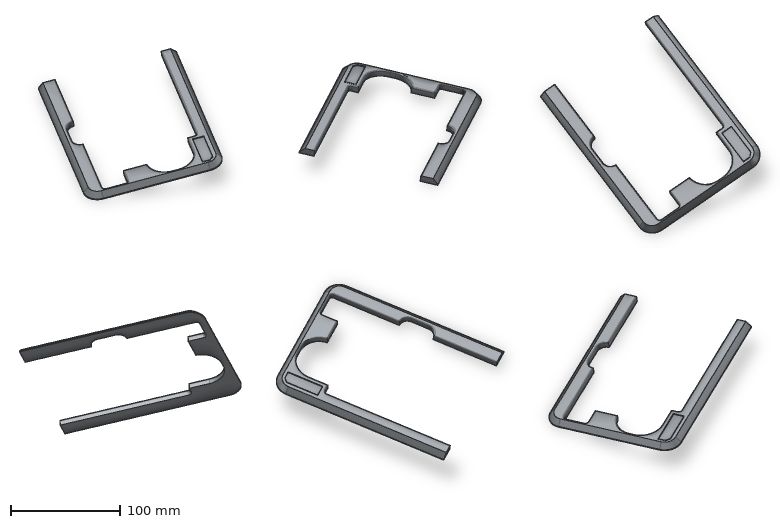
import cadquery as cq

TILT_ANGLE = 7.0
LENGTH = 174.73
WIDTH = 132.14
THICKNESS = 6.0
CORNER_RADIUS = 15.0
OUTER_CHAMFER = 5.0
WINDOW_EDGE_RADIUS = 1.0
INNER_CORNER_RADIUS = 3.0

LOWER_ARM_WIDTH = 16.8
UPPER_ARM_WIDTH = 14.0
END_BAR_WIDTH = 6.9
WINDOW_END_X = LENGTH - END_BAR_WIDTH
WINDOW_BOTTOM_Y = LOWER_ARM_WIDTH
WINDOW_TOP_Y = WIDTH - UPPER_ARM_WIDTH

PAD_LEFT_X = 128.0
PAD_BOTTOM_Y = 108.8

BAY_RADIUS = 20.0
BAY_FLAT = 5.0
BAY_BOTTOM_Y = PAD_BOTTOM_Y - 2 * BAY_RADIUS - BAY_FLAT

TAB_LEFT_X = 149.5
TAB_BOTTOM_Y = 41.4

NOTCH_CENTER_X = 81.2
NOTCH_WIDTH = 34.3
NOTCH_BOTTOM_Y = 8.3
NOTCH_RADIUS = LOWER_ARM_WIDTH - NOTCH_BOTTOM_Y

RECESS_LEFT_X = 131.9
RECESS_RIGHT_X = 166.8
RECESS_BOTTOM_Y = 112.6
RECESS_TOP_Y = 123.3
RECESS_CORNER_CUT = 3.6
RECESS_DEPTH = 1.0


def box(x_min, x_max, y_min, y_max):
    """Block through the full plate thickness."""
    return cq.Workplane("XY").box(x_max - x_min, y_max - y_min, THICKNESS, centered=False).translate(
        (x_min, y_min, 0)
    )


def make_plate():
    """Full plate with rounded +X corners and a broad chamfer on its three outer sides."""
    plate = box(0, LENGTH, 0, WIDTH).edges("|Z and >X").fillet(CORNER_RADIUS)
    return plate.faces(">Z").edges("not <X").chamfer(OUTER_CHAMFER)


def make_bay():
    """Bay cutter, square on its open -X side and rounded towards +X."""
    bay = box(PAD_LEFT_X, WINDOW_END_X, BAY_BOTTOM_Y, PAD_BOTTOM_Y)
    return bay.edges("|Z and >X").fillet(BAY_RADIUS)


def make_notch():
    """Finger notch cutter with rounded bottom corners."""
    half_width = NOTCH_WIDTH / 2
    notch = box(NOTCH_CENTER_X - half_width, NOTCH_CENTER_X + half_width, NOTCH_BOTTOM_Y, WINDOW_TOP_Y)
    return notch.edges("|Z and <Y").fillet(NOTCH_RADIUS)


def make_window():
    """Cutter for the whole opening between the arms."""
    main = box(0, PAD_LEFT_X, WINDOW_BOTTOM_Y, WINDOW_TOP_Y)
    main = main.edges("|Z and >X and >Y").fillet(INNER_CORNER_RADIUS)
    beside_tab = box(0, TAB_LEFT_X, WINDOW_BOTTOM_Y, BAY_BOTTOM_Y + BAY_RADIUS)
    below_tab = box(0, WINDOW_END_X, WINDOW_BOTTOM_Y, TAB_BOTTOM_Y)
    below_tab = below_tab.edges("|Z and >X").fillet(INNER_CORNER_RADIUS)
    return main.union(beside_tab).union(below_tab).union(make_bay()).union(make_notch()).clean()


def make_opened_slab():
    """Square slab with the window cut through it and its top edge rounded."""
    slab = box(0, LENGTH, 0, WIDTH).cut(make_window())
    window_edges = cq.selectors.BoxSelector(
        (WINDOW_EDGE_RADIUS, WINDOW_EDGE_RADIUS, 0),
        (LENGTH - WINDOW_EDGE_RADIUS, WIDTH - WINDOW_EDGE_RADIUS, 2 * THICKNESS),
    )
    return slab.faces(">Z").edges(window_edges).fillet(WINDOW_EDGE_RADIUS)


def make_recess():
    """Shallow label recess with its +X +Y corner cut off."""
    recess = box(RECESS_LEFT_X, RECESS_RIGHT_X, RECESS_BOTTOM_Y, RECESS_TOP_Y)
    recess = recess.edges("|Z and >X and >Y").chamfer(RECESS_CORNER_CUT)
    return recess.translate((0, 0, THICKNESS - RECESS_DEPTH))


frame = make_plate().intersect(make_opened_slab()).cut(make_recess())
result = frame.rotate((0, 0, 0), (1, 0, 0), TILT_ANGLE)